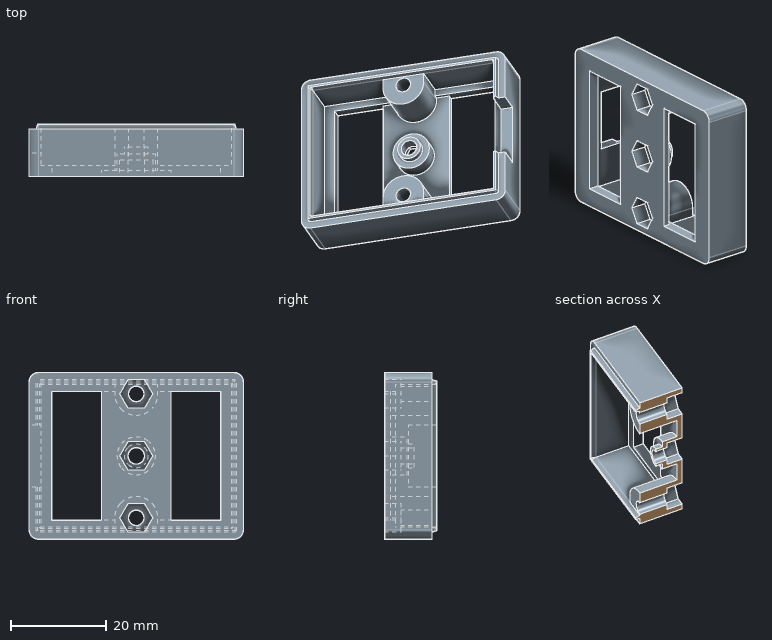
import math

import cadquery as cq

WIDTH = 45.0
HEIGHT = 35.0
BODY_DEPTH = 10.0
CORNER_RADIUS = 2.0
WALL = 2.55
FRAME_PLATE = 2.3
BAR_PLATE = 1.3

RIM_HEIGHT = 1.0
RIM_INSET = 1.5
RIM_SLOPE = 0.3

WINDOW_WIDTH = 10.4
WINDOW_HEIGHT = 27.0
WINDOW_OFFSET = 12.5

NOTCH_HEIGHT = 13.0
NOTCH_START = 5.0

SCREW_SPACING = 13.0
NUT_DEPTH = 3.5
NUT_FLATS = 6.0
OUTER_BOSS_DIAMETER = 9.0
OUTER_HOLE_DIAMETER = 3.2
CENTRE_BOSS_DIAMETER = 8.0
CENTRE_BOSS_END = 4.7
CENTRE_TIP_DIAMETER = 5.0
CENTRE_TIP_END = 6.2
CENTRE_HOLE_DIAMETER = 3.4

CAVITY_WIDTH = WIDTH - 2 * WALL
CAVITY_HEIGHT = HEIGHT - 2 * WALL
TOTAL_DEPTH = BODY_DEPTH + RIM_HEIGHT
RIM_TAPER = math.degrees(math.atan(RIM_SLOPE / RIM_HEIGHT))


def plane_at(y):
    """Sketch plane at depth y, facing the rear (+Y), with local axes along -X and +Z."""
    return cq.Workplane(cq.Plane(origin=(0, y, 0), xDir=(-1, 0, 0), normal=(0, 1, 0)))


def block(start, end, width, height, x=0.0, z=0.0):
    """Rectangular block from depth start to depth end, centred on (x, z)."""
    return plane_at(start).center(-x, z).rect(width, height).extrude(end - start)


def cylinder(start, end, diameter, z):
    """Cylinder along Y from depth start to depth end, on the vertical centreline."""
    return plane_at(start).center(0, z).circle(diameter / 2).extrude(end - start)


def make_shell():
    """Rounded frame with a rear cavity that steps deeper over the area of the windows."""
    body = block(0, BODY_DEPTH, WIDTH, HEIGHT).edges("|Y").fillet(CORNER_RADIUS)
    cavity = block(FRAME_PLATE, BODY_DEPTH, CAVITY_WIDTH, CAVITY_HEIGHT)
    recess_width = 2 * WINDOW_OFFSET + WINDOW_WIDTH
    recess = block(BAR_PLATE, BODY_DEPTH, recess_width, WINDOW_HEIGHT)
    return body.cut(cavity).cut(recess)


def make_rim():
    """Rim that narrows toward the rear, with corners concentric with those of the frame."""
    outline = cq.Sketch().rect(WIDTH - 2 * RIM_INSET, HEIGHT - 2 * RIM_INSET)
    outline = outline.vertices().fillet(CORNER_RADIUS - RIM_INSET)
    outer = plane_at(BODY_DEPTH).placeSketch(outline).extrude(RIM_HEIGHT, taper=RIM_TAPER)
    opening = plane_at(BODY_DEPTH).rect(CAVITY_WIDTH, CAVITY_HEIGHT)
    return outer.cut(opening.extrude(RIM_HEIGHT, taper=-RIM_TAPER))


def cut_windows(part):
    for x in (-WINDOW_OFFSET, WINDOW_OFFSET):
        part = part.cut(block(0, FRAME_PLATE, WINDOW_WIDTH, WINDOW_HEIGHT, x))
    return part


def cut_notch(part):
    wall_centre = (WALL - WIDTH) / 2
    return part.cut(block(NOTCH_START, TOTAL_DEPTH, WALL, NOTCH_HEIGHT, wall_centre))


def add_centre_boss(part):
    """Stepped boss: a wide base with a narrower tip."""
    part = part.union(cylinder(0, CENTRE_BOSS_END, CENTRE_BOSS_DIAMETER, 0))
    return part.union(cylinder(0, CENTRE_TIP_END, CENTRE_TIP_DIAMETER, 0))


def add_outer_boss(part, side):
    """Full-depth boss joined to the upper (side = 1) or lower (side = -1) wall at full width."""
    z = side * SCREW_SPACING
    foot_height = CAVITY_HEIGHT / 2 - SCREW_SPACING
    foot_centre = side * (SCREW_SPACING + foot_height / 2)
    foot = block(0, BODY_DEPTH, OUTER_BOSS_DIAMETER, foot_height, z=foot_centre)
    return part.union(cylinder(0, BODY_DEPTH, OUTER_BOSS_DIAMETER, z)).union(foot)


def cut_screw_hole(part, z, hole_diameter):
    """Through hole with a nut pocket in the front face, corners pointing along X."""
    part = part.cut(cylinder(0, TOTAL_DEPTH, hole_diameter, z))
    nut_corners = NUT_FLATS / math.cos(math.radians(30))
    nut = plane_at(0).center(0, z).polygon(6, nut_corners).extrude(NUT_DEPTH)
    return part.cut(nut)


result = make_shell().union(make_rim())
result = cut_windows(result)
result = cut_notch(result)
result = add_centre_boss(result)
result = cut_screw_hole(result, 0, CENTRE_HOLE_DIAMETER)
for boss_side in (-1, 1):
    result = add_outer_boss(result, boss_side)
    result = cut_screw_hole(result, boss_side * SCREW_SPACING, OUTER_HOLE_DIAMETER)